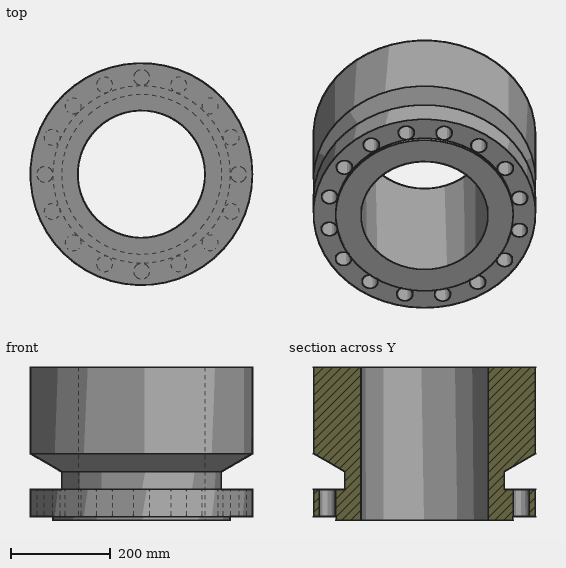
import cadquery as cq

outer_diameter = 444.5
bore_diameter = 254.0
total_height = 306.4

raised_face_diameter = 355.0
raised_face_height = 7.4

flange_top = 61.8
bolt_count = 16
bolt_circle_diameter = 387.35
bolt_hole_diameter = 31.75

neck_diameter = 320.0
neck_top = 97.0
cone_top = 133.0


def make_body():
    """Revolve the stepped half profile, bore included, about Z."""
    bore_radius = bore_diameter / 2
    face_radius = raised_face_diameter / 2
    outer_radius = outer_diameter / 2
    neck_radius = neck_diameter / 2
    profile = [
        (bore_radius, 0),
        (face_radius, 0),
        (face_radius, raised_face_height),
        (outer_radius, raised_face_height),
        (outer_radius, flange_top),
        (neck_radius, flange_top),
        (neck_radius, neck_top),
        (outer_radius, cone_top),
        (outer_radius, total_height),
        (bore_radius, total_height),
    ]
    return cq.Workplane("XZ").polyline(profile).close().revolve(360, (0, 0, 0), (0, 1, 0))


def make_bolt_holes():
    """Ring of cylinders that pass through the bolting flange only."""
    return (
        cq.Workplane("XY")
        .workplane(offset=raised_face_height)
        .polarArray(bolt_circle_diameter / 2, 0, 360, bolt_count)
        .circle(bolt_hole_diameter / 2)
        .extrude(flange_top - raised_face_height)
    )


result = make_body().cut(make_bolt_holes())